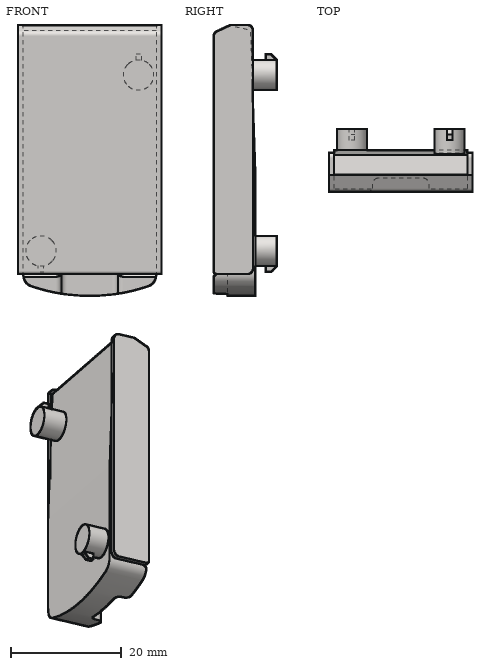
import cadquery as cq
import math

width = 26.0
height = 49.0
housing_depth = 7.1
housing_bottom = 3.95
back_corner_radius = 1.0
front_top_radius = 1.0
front_bottom_radius = 0.5
top_flat_start = 3.05
top_slope_angle = 25.0

wall = 1.0
core_width = width - 2 * wall
core_depth = 7.55
taper_start = 22.4
core_top_depth = 6.65
core_top_drop = 1.0
core_front = 3.15
core_front_drop = 0.15

tab_arc_radius = 32.8
tab_corner_radius = 2.25
tab_bevel = front_bottom_radius
notch_floor_width = 8.15
notch_mouth_width = 12.15
notch_depth = 2.5

pin_diameter = 5.5
pin_end = 11.4
pin_x = 8.8
upper_pin_z = 39.9
lower_pin_z = 8.15
hook_width = 1.0
hook_length = 2.0
hook_rise = 1.05


def side_extrusion(points, extent):
    """Extrude a (y, z) outline along X, centred on X = 0."""
    return cq.Workplane("YZ").polyline(points).close().extrude(extent / 2, both=True)


def make_housing():
    front_top = height - top_flat_start * math.tan(math.radians(top_slope_angle))
    outline = [
        (0, housing_bottom),
        (housing_depth, housing_bottom),
        (housing_depth, height),
        (top_flat_start, height),
        (0, front_top),
    ]
    shell = side_extrusion(outline, width)
    shell = shell.faces(">Y").edges("|X").fillet(back_corner_radius)
    shell = shell.edges(cq.selectors.NearestToPointSelector((0, 0, front_top))).fillet(front_top_radius)
    lower_front = cq.selectors.NearestToPointSelector((0, 0, housing_bottom))
    return shell.edges(lower_front).fillet(front_bottom_radius)


def make_core_space():
    """Space between the side walls, open at the top and the back."""
    outline = [
        (core_front, housing_bottom),
        (housing_depth, housing_bottom),
        (housing_depth, height),
        (core_front, height),
    ]
    return side_extrusion(outline, core_width)


def make_core():
    outline = [
        (core_front, housing_bottom),
        (core_depth, housing_bottom),
        (core_depth, taper_start),
        (core_top_depth, height - core_top_drop),
        (core_front, height - core_front_drop),
    ]
    return side_extrusion(outline, core_width)


def make_tab():
    half = core_width / 2
    arc_end = tab_arc_radius - math.sqrt(tab_arc_radius**2 - half**2)
    top = housing_bottom
    tab = (
        cq.Workplane("XZ")
        .moveTo(-half, top)
        .lineTo(-half, arc_end)
        .threePointArc((0, 0), (half, arc_end))
        .lineTo(half, top)
        .close()
        .extrude(-core_depth)
    )
    for side in (-1, 1):
        corner = cq.selectors.NearestToPointSelector((side * half, core_depth / 2, arc_end))
        tab = tab.edges(corner).fillet(tab_corner_radius)
    bevel = side_extrusion(
        [(0, top - tab_bevel), (tab_bevel, top), (0, top)], core_width
    )
    return tab.cut(bevel).cut(make_notch(top))


def make_notch(top):
    """Through notch whose sides round over at the mouth and blend into a flat floor."""
    floor = notch_floor_width / 2
    mouth = notch_mouth_width / 2
    side = (floor + mouth) / 2
    radius = side - floor
    diagonal = radius * math.sqrt(0.5)
    return (
        cq.Workplane("XY")
        .moveTo(-mouth, 0)
        .threePointArc((-mouth + diagonal, radius - diagonal), (-side, radius))
        .lineTo(-side, notch_depth - radius)
        .threePointArc((-floor - diagonal, notch_depth - radius + diagonal), (-floor, notch_depth))
        .lineTo(floor, notch_depth)
        .threePointArc((floor + diagonal, notch_depth - radius + diagonal), (side, notch_depth - radius))
        .lineTo(side, radius)
        .threePointArc((mouth - diagonal, radius - diagonal), (mouth, 0))
        .close()
        .extrude(top)
    )


def make_pin(x, z, hook_direction):
    """Round pin with a chamfered hook; hook_direction is +1 for up, -1 for down."""
    root = core_front
    pin = cq.Workplane("XZ", origin=(x, root, z)).circle(pin_diameter / 2).extrude(root - pin_end)
    edge = z + hook_direction * pin_diameter / 2
    tip = edge + hook_direction * hook_rise
    hook = side_extrusion(
        [
            (pin_end, z),
            (pin_end, edge),
            (pin_end - hook_rise, tip),
            (pin_end - hook_length, tip),
            (pin_end - hook_length, z),
        ],
        hook_width,
    ).translate((x, 0, 0))
    return pin.union(hook)


result = make_housing().cut(make_core_space()).union(make_core()).union(make_tab())
result = result.union(make_pin(pin_x, upper_pin_z, 1))
result = result.union(make_pin(-pin_x, lower_pin_z, -1))